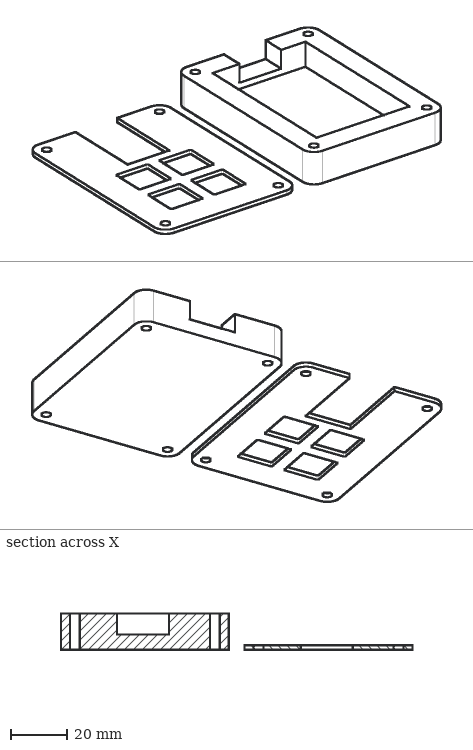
import cadquery as cq

length = 81.2
width = 59.9
corner_radius = 5.0

screw_hole_diameter = 3.4
screw_spacing_x = length - 2 * corner_radius
screw_spacing_y = width - 2 * corner_radius

case_height = 13.0
floor_thickness = 3.0
wall_thickness = 9.4
pocket_length = length - 2 * wall_thickness
pocket_width = width - 2 * wall_thickness
pocket_depth = case_height - floor_thickness

opening_width = 18.4
opening_offset_y = 0.6
notch_depth = 7.5

plate_thickness = 1.8
slot_length = 31.3

window_size = 14.0
window_corner_radius = 0.5
window_pitch = 19.0
window_columns = 2
window_rows = 2
window_group_x = 11.4
window_group_y = -0.3

overall_y = 125.3
case_x = 0.4
case_y = overall_y - width


def rounded_slab(thickness):
    """Slab with rounded corners, centred on the origin in X and Y, bottom on Z = 0."""
    slab = cq.Workplane("XY").rect(length, width).extrude(thickness)
    return slab.edges("|Z").fillet(corner_radius)


def screw_holes(height):
    """Four cylinders to cut the screw holes through a slab of the given height."""
    return (
        cq.Workplane("XY")
        .rect(screw_spacing_x, screw_spacing_y, forConstruction=True)
        .vertices()
        .circle(screw_hole_diameter / 2)
        .extrude(height)
    )


def side_opening(depth_x, bottom_z, height):
    """Block to cut the connector opening, reaching in from the -X side by depth_x."""
    return (
        cq.Workplane("XY", origin=(-length / 2, opening_offset_y, bottom_z))
        .box(depth_x, opening_width, height, centered=(False, True, False))
    )


def key_windows():
    """Grid of blocks, rounded at the vertical edges, to cut the key windows."""
    return (
        cq.Workplane("XY", origin=(window_group_x, window_group_y, 0))
        .rarray(window_pitch, window_pitch, window_columns, window_rows)
        .rect(window_size, window_size)
        .extrude(plate_thickness)
        .edges("|Z")
        .fillet(window_corner_radius)
    )


def make_case():
    """Open-topped case with a deep pocket and a notch through its -X wall."""
    pocket = (
        cq.Workplane("XY", origin=(0, 0, floor_thickness))
        .box(pocket_length, pocket_width, pocket_depth, centered=(True, True, False))
    )
    notch = side_opening(wall_thickness, case_height - notch_depth, notch_depth)
    case = rounded_slab(case_height).cut(pocket).cut(notch)
    return case.cut(screw_holes(case_height))


def make_plate():
    """Flat cover plate with a connector slot and four key windows."""
    slot = side_opening(slot_length, 0, plate_thickness)
    plate = rounded_slab(plate_thickness).cut(slot).cut(key_windows())
    return plate.cut(screw_holes(plate_thickness))


case = make_case().translate((case_x, case_y, 0))
plate = make_plate()

result = cq.Compound.makeCompound([case.val(), plate.val()])